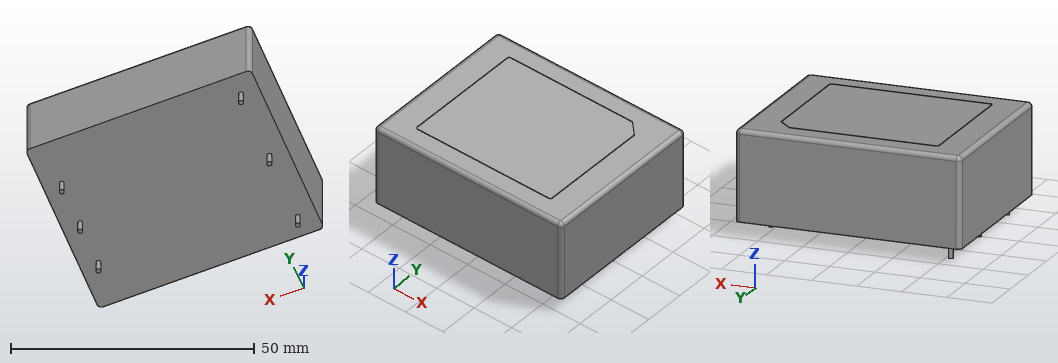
import cadquery as cq

LENGTH = 50.0
WIDTH = 40.0
HEIGHT = 20.0
EDGE_RADIUS = 1.0

LABEL_LENGTH = 36.0
LABEL_WIDTH = 30.0
LABEL_THICKNESS = 0.1
LABEL_CORNER_CUT = 3.0
LABEL_CORNER_RADIUS = 0.5

PIN_DIAMETER = 1.0
PIN_LENGTH = 3.6
PIN_ROW_X = 21.0
INNER_PIN_Y = 10.0
OUTER_PIN_Y = 15.5
PIN_POSITIONS = (
    [(PIN_ROW_X, y) for y in (-INNER_PIN_Y, 0, INNER_PIN_Y)]
    + [(-PIN_ROW_X, y) for y in (-OUTER_PIN_Y, 0, OUTER_PIN_Y)]
)


def make_label():
    """Thin plate with one cut corner and three rounded corners."""
    plate = cq.Workplane("XY").box(
        LABEL_LENGTH, LABEL_WIDTH, LABEL_THICKNESS, centered=(True, True, False)
    )
    plate = plate.edges("|Z and >X and >Y").chamfer(LABEL_CORNER_CUT)
    plate = plate.edges("|Z and (<X or <Y)").fillet(LABEL_CORNER_RADIUS)
    return plate.translate((0, 0, HEIGHT))


def make_housing():
    """Block with rounded upright and top edges."""
    block = cq.Workplane("XY").box(LENGTH, WIDTH, HEIGHT, centered=(True, True, False))
    return block.edges("|Z or >Z").fillet(EDGE_RADIUS)


def make_pin(x, y):
    """Round pin hanging from the underside of the housing."""
    return cq.Workplane("XY").center(x, y).circle(PIN_DIAMETER / 2).extrude(-PIN_LENGTH)


label = make_label()
housing = make_housing()
pins = [make_pin(x, y) for x, y in PIN_POSITIONS]

result = cq.Compound.makeCompound([housing.val(), label.val(), *[pin.val() for pin in pins]])